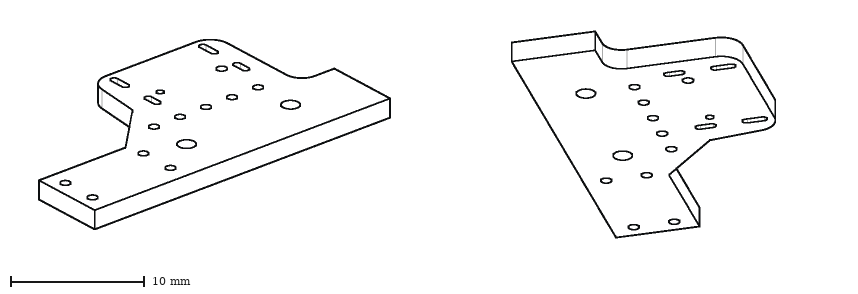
import cadquery as cq

width = 16.5
length = 28.82
thickness = 1.6

bar_width = 6.48
bar_left = width - bar_width
wing_top = 25.42
wing_bottom = 13.5
wing_tip_x = 5.62
wing_tip_y = 12.85
brace_end_y = wing_tip_y - (bar_left - wing_tip_x)
wing_corner_radius = 1.67
notch_radius = 1.5

small_diameter = 0.8
large_diameter = 1.45
column_x = 8.75
column_center_y = 17.38
column_pitch = 2.55
column_count = 5
column_span = column_pitch * (column_count - 1)
large_x = 12.55

mount_x = 11.65
mount_y = 1.25
mount_spacing_x = 3.15
mount_spacing_y = 7.6

wing_hole_x = 4.65
upper_wing_hole_y = 22.35
upper_wing_hole_diameter = 0.85
lower_wing_hole_y = 16.37
lower_wing_hole_diameter = 0.6

slot_width = 0.6
outer_slot_x = 1.53
outer_slot_length = 1.9
inner_slot_x = 5.33
inner_slot_length = 1.59
slot_rows_y = (15.05, 23.7)


def make_plate():
    outline = [
        (bar_left, 0),
        (width, 0),
        (width, length),
        (bar_left, length),
        (bar_left, wing_top),
        (0, wing_top),
        (0, wing_bottom),
        (wing_tip_x, wing_tip_y),
        (bar_left, brace_end_y),
    ]
    plate = cq.Workplane("XY").polyline(outline).close().extrude(thickness)
    rounded_corners = [
        (bar_left, wing_top, notch_radius),
        (0, wing_top, wing_corner_radius),
        (0, wing_bottom, wing_corner_radius),
    ]
    for x, y, radius in rounded_corners:
        corner_edge = cq.selectors.NearestToPointSelector((x, y, thickness / 2))
        plate = plate.edges("|Z").edges(corner_edge).fillet(radius)
    return plate


def cut_holes(plate, diameter, centers):
    pins = cq.Workplane("XY").pushPoints(centers).circle(diameter / 2).extrude(thickness)
    return plate.cut(pins)


def cut_slots(plate, slot_length, center_x):
    centers = [(center_x, y) for y in slot_rows_y]
    slots = cq.Workplane("XY").pushPoints(centers).slot2D(slot_length, slot_width).extrude(thickness)
    return plate.cut(slots)


column_bottom_y = column_center_y - column_span / 2
column_top_y = column_center_y + column_span / 2
column_holes = [(column_x, column_bottom_y + i * column_pitch) for i in range(column_count)]
large_holes = [(large_x, column_bottom_y), (large_x, column_top_y)]
mount_holes = [
    (x, y)
    for x in (mount_x, mount_x + mount_spacing_x)
    for y in (mount_y, mount_y + mount_spacing_y)
]

result = make_plate()
result = cut_holes(result, small_diameter, column_holes + mount_holes)
result = cut_holes(result, large_diameter, large_holes)
result = cut_holes(result, upper_wing_hole_diameter, [(wing_hole_x, upper_wing_hole_y)])
result = cut_holes(result, lower_wing_hole_diameter, [(wing_hole_x, lower_wing_hole_y)])
result = cut_slots(result, outer_slot_length, outer_slot_x)
result = cut_slots(result, inner_slot_length, inner_slot_x)